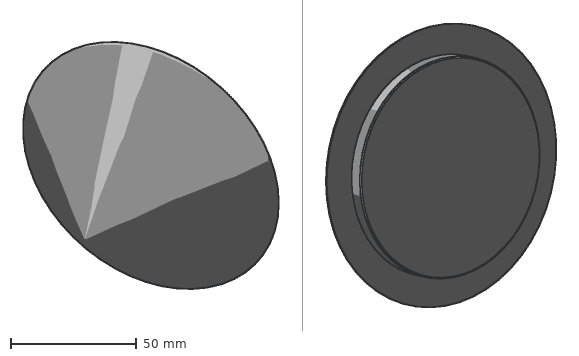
import cadquery as cq
import math

rim_radius = 57.4
rim_round = 2.0
nose_round = 0.9
cone_angle = math.radians(45)
collar_radius = 90.0 / 2
collar_length = 6.0
collar_chamfer = 0.6

rim_tangent_radius = rim_radius - rim_round * (1 - math.cos(cone_angle))
rim_tangent_y = -rim_round * math.sin(cone_angle)
nose_tangent_radius = nose_round * math.cos(cone_angle)
cone_length = (rim_tangent_radius - nose_tangent_radius) / math.tan(cone_angle)
nose_tangent_y = rim_tangent_y - cone_length
nose_y = nose_tangent_y - nose_round * (1 - math.sin(cone_angle))


def point_on_round(center_radius, center_y, radius, angle):
    """Point on an arc; the angle runs from straight outward towards the nose."""
    return (center_radius + radius * math.cos(angle), center_y - radius * math.sin(angle))


def make_cone():
    rim_middle = point_on_round(rim_radius - rim_round, 0, rim_round, cone_angle / 2)
    nose_middle_angle = (cone_angle + math.pi / 2) / 2
    nose_middle = point_on_round(0, nose_y + nose_round, nose_round, nose_middle_angle)
    profile = (
        cq.Workplane("XY")
        .moveTo(0, 0)
        .lineTo(rim_radius, 0)
        .threePointArc(rim_middle, (rim_tangent_radius, rim_tangent_y))
        .lineTo(nose_tangent_radius, nose_tangent_y)
        .threePointArc(nose_middle, (0, nose_y))
        .close()
    )
    return profile.revolve(360, (0, 0, 0), (0, 1, 0))


def make_collar():
    collar = cq.Workplane("XZ").circle(collar_radius).extrude(-collar_length)
    return collar.faces(">Y").edges().chamfer(collar_chamfer)


result = make_cone().union(make_collar())